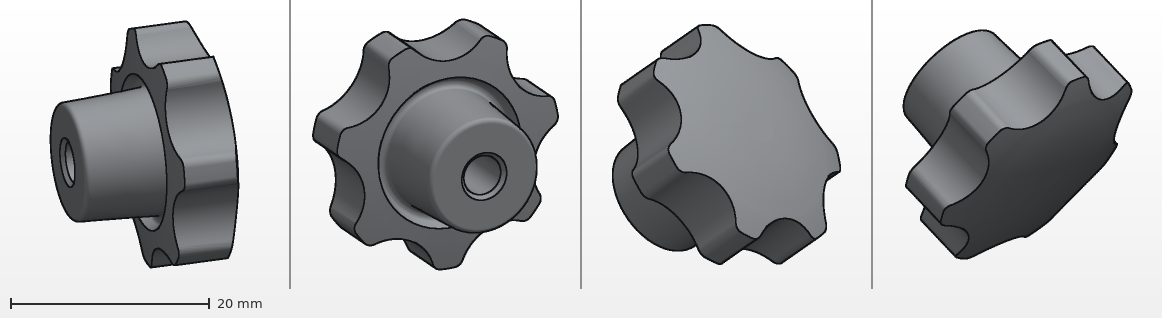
import cadquery as cq
import math

lobe_count = 7
head_radius = 12.5
scallop_radius = 5.0
scallop_floor = 9.78
lobe_fillet = 1.0

total_height = 16.03
head_base = 7.95
rim_bottom = 8.47
rim_top = 14.03
crown_flat_radius = 1.73

stem_end_radius = 6.05
stem_taper = 3.2
stem_fillet = 0.5

groove_radius = 7.98
groove_depth = 1.14
groove_wall_angle = 25
groove_fillet = 0.5

bore_diameter = 4.12
bore_depth = 9.88
bore_chamfer = 0.45
drill_angle = 118


def revolve(profile):
    return profile.close().revolve(360, (0, 0, 0), (0, 1, 0))


def lobed_prism():
    """Prism with evenly spaced round scallops and rounded lobe corners."""
    scallop_centre = scallop_floor + scallop_radius
    prism = cq.Workplane("XZ").circle(head_radius).extrude(-total_height)
    scallops = (
        cq.Workplane("XZ")
        .polarArray(scallop_centre, 90, 360, lobe_count)
        .circle(scallop_radius)
        .extrude(-total_height)
    )
    return prism.cut(scallops).edges("|Y").fillet(lobe_fillet)


def stem_radius(height):
    return stem_end_radius + height * math.tan(math.radians(stem_taper))


def turned_body():
    """Stem, root groove, bulged underside and domed crown, turned as one solid."""
    dome_rise = total_height - rim_top
    dome_span = head_radius - crown_flat_radius
    dome_radius = (dome_span**2 + dome_rise**2) / (2 * dome_rise)
    dome_mid = crown_flat_radius + dome_span / 2
    dome_drop = dome_radius - math.sqrt(dome_radius**2 - (dome_span / 2) ** 2)

    underside_mid = (groove_radius + head_radius) / 2
    underside_slope = (rim_bottom - head_base) / (head_radius - groove_radius)
    underside_radius = underside_mid / underside_slope
    underside_bulge = (head_radius - groove_radius) ** 2 / (8 * underside_radius)
    underside_height = (head_base + rim_bottom) / 2 - underside_bulge

    groove_floor = head_base + groove_depth
    groove_floor_radius = groove_radius - groove_depth * math.tan(math.radians(groove_wall_angle))
    body = revolve(
        cq.Workplane("XY")
        .lineTo(stem_end_radius, 0)
        .lineTo(stem_radius(groove_floor), groove_floor)
        .lineTo(groove_floor_radius, groove_floor)
        .lineTo(groove_radius, head_base)
        .threePointArc((underside_mid, underside_height), (head_radius, rim_bottom))
        .lineTo(head_radius, rim_top)
        .threePointArc((dome_mid, total_height - dome_drop), (crown_flat_radius, total_height))
        .lineTo(0, total_height)
    )
    body = body.faces("<Y").edges().fillet(stem_fillet)
    groove_face = body.faces(cq.selectors.NearestToPointSelector((0, groove_floor, 0)))
    return groove_face.edges().fillet(groove_fillet)


def bore():
    """Chamfered blind hole with a drill-point floor."""
    radius = bore_diameter / 2
    tip = bore_depth + radius / math.tan(math.radians(drill_angle / 2))
    return revolve(
        cq.Workplane("XY")
        .lineTo(radius + bore_chamfer, 0)
        .lineTo(radius, bore_chamfer)
        .lineTo(radius, bore_depth)
        .lineTo(0, tip)
    )


result = turned_body().intersect(lobed_prism()).cut(bore())